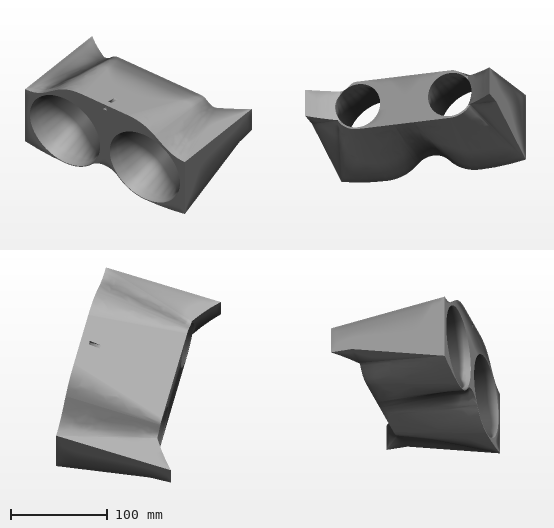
import cadquery as cq
import math

half_width = 100.0
body_depth = 100.0
eye_x = 50.0

bore_front_radius = 44.0
bore_back_radius = 24.0

front_top_z = 61.0
front_flat_half = 29.0
front_bend = (62.0, 50.0)
front_bend_slope = 0.75
front_side_top_z = 32.0
front_side_bottom_z = -40.0
front_eye_radius = 45.0
front_nose_z = -23.0

back_top_z = 27.0
back_flat_half = 50.5
back_bend = (57.2, 25.3)
back_bend_slope = 0.7
back_eye_radius = 26.0
back_nose_half = 11.0

total_depth = 122.85
wing_tip_top_z = 15.15
wing_bottom_z = -14.0
wing_inner_x = 69.5
wing_curve_mid = (84.75, 110.2)

channel_size = 4.0
channel_z = 56.0
channel_length = 25.0

wing_slope = (front_side_top_z - wing_tip_top_z) / total_depth
back_side_top_z = front_side_top_z - wing_slope * body_depth

nose_radius = (eye_x**2 + front_nose_z**2 - front_eye_radius**2) / (2 * (front_eye_radius + front_nose_z))
nose_center_z = front_nose_z - nose_radius
eye_share = front_eye_radius / (front_eye_radius + nose_radius)
nose_end = (eye_x * (1 - eye_share), nose_center_z * eye_share)

back_eye_end_x = eye_x + math.sqrt(back_eye_radius**2 - wing_bottom_z**2)


def at_depth(point, y):
    """Outline point (x, z) placed at depth y."""
    x, z = point
    return cq.Vector(x, y, z)


def line(start, end, y):
    return cq.Edge.makeLine(at_depth(start, y), at_depth(end, y))


def level_arc(start, end, y):
    """Arc from start to end that leaves start horizontally."""
    heading = cq.Vector(math.copysign(1, end[0] - start[0]), 0, 0)
    return cq.Edge.makeTangentArc(at_depth(start, y), heading, at_depth(end, y))


def falling_curve(start, end, start_slope, end_slope, y):
    """Smooth edge running to +X and falling at the given rates at its two ends."""
    headings = [cq.Vector(1, 0, -slope) for slope in (start_slope, end_slope)]
    return cq.Edge.makeSpline([at_depth(start, y), at_depth(end, y)], tangents=headings)


def brow(top_corner, bend, bend_slope, side_corner, y):
    """S-shaped shoulder, level at both ends, in two edges that meet at the bend."""
    return [
        falling_curve(top_corner, bend, 0, bend_slope, y),
        falling_curve(bend, side_corner, bend_slope, 0, y),
    ]


def mirrored_wire(right_edges, top_corner, y):
    """Closed outline from the top edge, the right-hand edges and their mirror images."""
    top_edge = line((-top_corner[0], top_corner[1]), top_corner, y)
    left_edges = [edge.mirror("YZ") for edge in reversed(right_edges)]
    return cq.Wire.assembleEdges([top_edge] + right_edges + left_edges)


def front_outline():
    y = 0
    top_corner = (front_flat_half, front_top_z)
    side_top = (half_width, front_side_top_z)
    side_bottom = (half_width, front_side_bottom_z)
    eye_bottom = (eye_x, -front_eye_radius)
    edges = brow(top_corner, front_bend, front_bend_slope, side_top, y)
    edges += [
        line(side_top, side_bottom, y),
        level_arc(eye_bottom, side_bottom, y),
        level_arc(eye_bottom, nose_end, y),
        level_arc((0, front_nose_z), nose_end, y),
    ]
    return mirrored_wire(edges, top_corner, y)


def back_outline():
    y = body_depth
    top_corner = (back_flat_half, back_top_z)
    side_top = (wing_inner_x, back_side_top_z)
    side_bottom = (back_eye_end_x, wing_bottom_z)
    eye_bottom = (eye_x, -back_eye_radius)
    nose_corner = (back_nose_half, -back_eye_radius)
    edges = brow(top_corner, back_bend, back_bend_slope, side_top, y)
    edges += [
        line(side_top, side_bottom, y),
        level_arc(eye_bottom, side_bottom, y),
        line(eye_bottom, nose_corner, y),
        line(nose_corner, (0, -back_eye_radius), y),
    ]
    return mirrored_wire(edges, top_corner, y)


def body():
    """Ruled loft, with matching edges in the front and back outlines."""
    return cq.Workplane(cq.Solid.makeLoft([front_outline(), back_outline()], True))


def right_wing():
    """Wing with flat sloping faces, trimmed in plan to a curved point behind the body."""
    side = (
        cq.Workplane("YZ")
        .moveTo(0, front_side_top_z)
        .lineTo(total_depth, wing_tip_top_z)
        .lineTo(total_depth, wing_bottom_z)
        .lineTo(body_depth, wing_bottom_z)
        .lineTo(0, front_side_bottom_z)
        .close()
        .extrude(half_width)
    )
    plan = (
        cq.Workplane("XY")
        .moveTo(half_width, 0)
        .lineTo(half_width, total_depth)
        .threePointArc(wing_curve_mid, (wing_inner_x, body_depth))
        .close()
        .extrude(front_top_z, both=True)
    )
    return side.intersect(plan)


def right_bore():
    """Cone through the body, then a cylinder that clears the wing tip."""
    profile = (
        cq.Workplane("XY")
        .moveTo(eye_x, 0)
        .lineTo(eye_x + bore_front_radius, 0)
        .lineTo(eye_x + bore_back_radius, body_depth)
        .lineTo(eye_x + bore_back_radius, total_depth)
        .lineTo(eye_x, total_depth)
        .close()
    )
    return profile.revolve(360, (eye_x, 0, 0), (eye_x, 1, 0))


def channel():
    box = cq.Workplane("XY").box(channel_size, channel_length, channel_size, centered=(True, False, True))
    return box.translate((0, 0, channel_z))


def both_sides(right_shape):
    return right_shape, right_shape.mirror("YZ")


result = body()
for wing in both_sides(right_wing()):
    result = result.union(wing)
for bore in both_sides(right_bore()):
    result = result.cut(bore)
result = result.cut(channel())